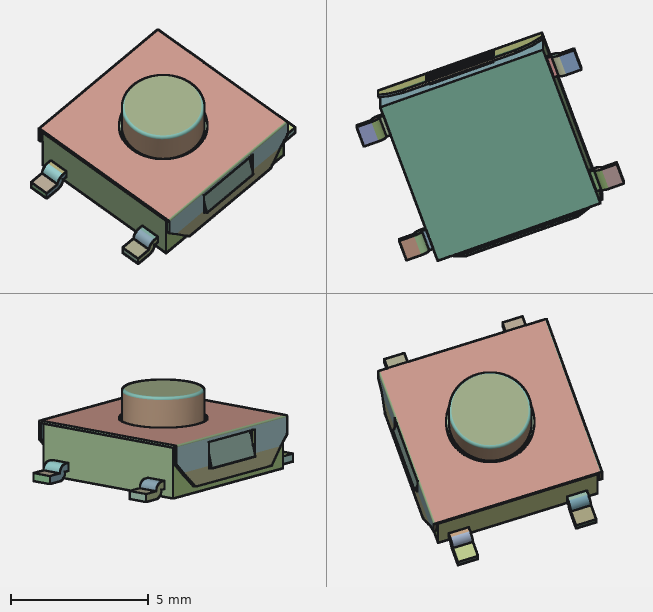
import cadquery as cq

BODY_X = 6.1
BODY_Y = 6.28

COVER_X = 6.45
COVER_Y = 6.33
COVER_TOP = 2.0
SHEET = 0.1
FOLD_RADIUS = 0.07
BUTTON_HOLE_RADIUS = 1.605
OVERALL_X = 6.61
FLARE_Z = 0.91
SKIRT_BOTTOM = 0.31
SKIRT_TAPER_Z = 1.3
BODY_TOP = COVER_TOP - SHEET

LATCH_WIDTH = 2.48
WINDOW_WIDTH = 2.6
LATCH_TOP = 1.81
LATCH_BOTTOM = 0.815

BUTTON_RADIUS = 1.5
BUTTON_TOP = 3.1
BUTTON_FILLET = 0.1

OVERALL_Y = 8.4
LEAD_WIDTH = 0.77
LEAD_X = 2.26
LEAD_THICKNESS = 0.3
LEAD_BEND_Y = 3.32


def make_body():
    """Rectangular housing with a latch wedge on each X side."""
    body = cq.Workplane("XY").box(BODY_X, BODY_Y, BODY_TOP, centered=(True, True, False))
    latch_section = [
        (-BODY_X / 2, LATCH_TOP),
        (-OVERALL_X / 2, LATCH_BOTTOM),
        (OVERALL_X / 2, LATCH_BOTTOM),
        (BODY_X / 2, LATCH_TOP),
    ]
    latches = cq.Workplane("XZ").polyline(latch_section).close().extrude(LATCH_WIDTH / 2, both=True)
    return body.union(latches)


def make_cover():
    """Folded sheet with flared, tapered side skirts."""
    outer = COVER_X / 2
    inner = outer - SHEET
    flared_outer = OVERALL_X / 2
    flared_inner = flared_outer - SHEET
    cover = (
        cq.Workplane("XZ")
        .moveTo(-flared_outer, SKIRT_BOTTOM)
        .lineTo(-outer, FLARE_Z)
        .lineTo(-outer, COVER_TOP)
        .lineTo(outer, COVER_TOP)
        .lineTo(outer, FLARE_Z)
        .lineTo(flared_outer, SKIRT_BOTTOM)
        .lineTo(flared_inner, SKIRT_BOTTOM)
        .lineTo(inner, FLARE_Z)
        .lineTo(inner, BODY_TOP)
        .lineTo(-inner, BODY_TOP)
        .lineTo(-inner, FLARE_Z)
        .lineTo(-flared_inner, SKIRT_BOTTOM)
        .close()
        .extrude(COVER_Y / 2, both=True)
    )
    cover = cover.faces(">Z").edges("|Y").fillet(FOLD_RADIUS)

    half_y = COVER_Y / 2
    bottom_half_y = half_y - (SKIRT_TAPER_Z - SKIRT_BOTTOM)
    side_outline = [
        (-half_y, COVER_TOP),
        (-half_y, SKIRT_TAPER_Z),
        (-bottom_half_y, SKIRT_BOTTOM),
        (bottom_half_y, SKIRT_BOTTOM),
        (half_y, SKIRT_TAPER_Z),
        (half_y, COVER_TOP),
    ]
    envelope = cq.Workplane("YZ").polyline(side_outline).close().extrude(OVERALL_X / 2, both=True)

    window_height = LATCH_TOP - LATCH_BOTTOM
    window_middle = (LATCH_TOP + LATCH_BOTTOM) / 2
    windows = cq.Workplane("XY").box(OVERALL_X, WINDOW_WIDTH, window_height).translate((0, 0, window_middle))
    button_hole = cq.Workplane("XY").circle(BUTTON_HOLE_RADIUS).extrude(COVER_TOP)
    return cover.intersect(envelope).cut(windows).cut(button_hole)


def make_button():
    """Round plunger standing on the body."""
    height = BUTTON_TOP - BODY_TOP
    button = cq.Workplane("XY").workplane(offset=BODY_TOP).circle(BUTTON_RADIUS).extrude(height)
    return button.faces(">Z").edges().fillet(BUTTON_FILLET)


def make_lead_pair():
    """Two gull-wing leads on the +Y side, each bent through two quarter circles."""
    t = LEAD_THICKNESS
    diagonal = t * 0.5 ** 0.5
    foot_y = LEAD_BEND_Y + t
    section = (
        cq.Workplane("YZ")
        .moveTo(BODY_Y / 2, t)
        .lineTo(LEAD_BEND_Y, t)
        .threePointArc((foot_y - diagonal, t - diagonal), (foot_y, 0))
        .lineTo(OVERALL_Y / 2, 0)
        .lineTo(OVERALL_Y / 2, t)
        .lineTo(foot_y, t)
        .threePointArc((LEAD_BEND_Y + diagonal, t + diagonal), (LEAD_BEND_Y, 2 * t))
        .lineTo(BODY_Y / 2, 2 * t)
        .close()
    )
    lead = section.extrude(LEAD_WIDTH / 2, both=True)
    return lead.translate((LEAD_X, 0, 0)).union(lead.translate((-LEAD_X, 0, 0)))


lead_pair = make_lead_pair()
result = make_body().union(make_cover()).union(make_button())
result = result.union(lead_pair).union(lead_pair.mirror("XZ"))